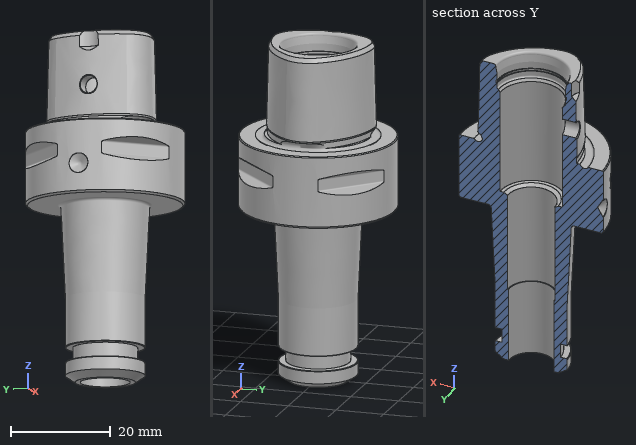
import cadquery as cq
import math

total_height = 70.0
head_chamfer_top = 1.3
neck_bottom = 4.0
neck_top = 7.0
cone_bottom = 17.0
flange_bottom = 36.0
flange_top = 50.95
ledge_top = 51.25
polygon_bottom = 52.8
polygon_edge_bottom = 52.4
bevel_bottom = total_height - 0.9

tip_radius = 12.1 / 2
shank_radius = 16.0 / 2
neck_radius = 13.0 / 2
cone_top_radius = 17.8 / 2
cone_fillet = 0.6
flange_radius = 32.0 / 2
flange_top_chamfer = 0.2
flange_bottom_chamfer = 0.4
shank_edge_chamfer = 0.15

ring_radius = 11.75
ring_tube_radius = 1.0
ring_height = polygon_edge_bottom - ring_tube_radius

lobe_reach = 11.8
face_reach = 10.2
lobe_radius = 6.3
taper = 1 / 40
top_bevel = 0.525
neck_inset = 0.15

rim_radius = 16.65 / 2
rim_fillet_depth = 0.7
mouth_radius = 15.55 / 2
bore_radius = 15.0 / 2
mouth_depth = 2.25
relief_radius = 15.4 / 2
relief_top_depth = 3.85
relief_bottom_depth = 4.4
shoulder_depth = 5.4
shoulder_fillet = 0.5
shoulder_radius = 7.2
chamber_depth = 6.5
chamber_radius = 6.85
chamber_floor = 39.9
seat_radius = 6.0
screw_radius = 10.35 / 2
through_radius = 10.0 / 2
seat_depth = 0.5

slot_count = 4
slot_height = 45.0
slot_flat_distance = 14.15
slot_half_width = 1.25
slot_wall_angle = 30.0
slot_fillet = 0.4

cross_hole_height = 59.0
cross_hole_diameter = 3.6
cross_hole_rim_diameter = 4.0
dimple_height = 42.0
dimple_diameter = 4.0
dimple_angle = 120.0
key_radius = 3.0
key_reach = 8.95
key_bottom = 66.85

clearance = 0.7


def polygon_point(radius, angle):
    return (radius * math.cos(angle), radius * math.sin(angle))


def polygon_wire(inset, height):
    """Three lobe arcs joined tangentially by three flatter face arcs."""
    lobe_center = lobe_reach - lobe_radius
    reach_gap = face_reach - lobe_radius
    face_center = (lobe_center**2 - reach_gap**2) / (2 * reach_gap - lobe_center)
    third = 2 * math.pi / 3
    normal_angle = math.atan2(
        lobe_center * math.sin(third / 2),
        lobe_center * math.cos(third / 2) + face_center,
    )
    lobe_turn = third / 2 - normal_angle
    radius = lobe_radius - inset
    joint_x = lobe_center + radius * math.cos(lobe_turn)
    joint_y = radius * math.sin(lobe_turn)
    joint_distance = math.hypot(joint_x, joint_y)
    joint_angle = math.atan2(joint_y, joint_x)

    outline = cq.Workplane("XY", origin=(0, 0, height))
    outline = outline.moveTo(*polygon_point(joint_distance, -joint_angle))
    for lobe in range(3):
        direction = lobe * third
        outline = outline.threePointArc(
            polygon_point(lobe_reach - inset, direction),
            polygon_point(joint_distance, direction + joint_angle),
        ).threePointArc(
            polygon_point(face_reach - inset, direction + third / 2),
            polygon_point(joint_distance, direction + third - joint_angle),
        )
    return outline.close().wire().val()


def polygon_loft(bottom_inset, bottom, top_inset, top):
    wires = [polygon_wire(bottom_inset, bottom), polygon_wire(top_inset, top)]
    return cq.Workplane(cq.Solid.makeLoft(wires, True))


def make_turned_body():
    fillet_mid = cone_fillet * (1 - math.sqrt(0.5))
    edge = shank_edge_chamfer
    return (
        cq.Workplane("XZ")
        .moveTo(0, 0)
        .lineTo(tip_radius, 0)
        .lineTo(shank_radius, head_chamfer_top)
        .lineTo(shank_radius, neck_bottom - edge)
        .lineTo(shank_radius - edge, neck_bottom)
        .lineTo(neck_radius, neck_bottom)
        .lineTo(neck_radius, neck_top)
        .lineTo(shank_radius - edge, neck_top)
        .lineTo(shank_radius, neck_top + edge)
        .lineTo(shank_radius, cone_bottom)
        .lineTo(cone_top_radius, flange_bottom - cone_fillet)
        .threePointArc(
            (cone_top_radius + fillet_mid, flange_bottom - fillet_mid),
            (cone_top_radius + cone_fillet, flange_bottom),
        )
        .lineTo(flange_radius - flange_bottom_chamfer, flange_bottom)
        .lineTo(flange_radius, flange_bottom + flange_bottom_chamfer)
        .lineTo(flange_radius, flange_top - flange_top_chamfer)
        .lineTo(flange_radius - flange_top_chamfer, flange_top)
        .lineTo(ring_radius, flange_top)
        .lineTo(ring_radius, ledge_top)
        .lineTo(0, ledge_top)
        .close()
        .revolve(360, (0, 0, 0), (0, 1, 0))
    )


def make_ring_groove():
    return (
        cq.Workplane("XZ")
        .center(ring_radius, ring_height)
        .circle(ring_tube_radius)
        .revolve(360, (-ring_radius, 0, 0), (-ring_radius, 1, 0))
    )


def make_polygon():
    top_inset = taper * (bevel_bottom - polygon_bottom)
    neck = polygon_loft(neck_inset, flange_top, neck_inset, polygon_edge_bottom)
    lower_edge = polygon_loft(neck_inset, polygon_edge_bottom, 0, polygon_bottom)
    tapered = polygon_loft(0, polygon_bottom, top_inset, bevel_bottom)
    bevel = polygon_loft(top_inset, bevel_bottom, top_inset + top_bevel, total_height)
    return neck.cut(make_ring_groove()).union(lower_edge).union(tapered).union(bevel)


def make_bore():
    rim_in = rim_radius - mouth_radius
    bend = 1 - math.sqrt(0.5)
    shoulder_in = bore_radius - shoulder_radius
    return (
        cq.Workplane("XZ")
        .moveTo(0, total_height)
        .lineTo(rim_radius, total_height)
        .threePointArc(
            (mouth_radius + rim_in * bend, total_height - rim_fillet_depth * bend),
            (mouth_radius, total_height - rim_fillet_depth),
        )
        .lineTo(bore_radius, total_height - mouth_depth)
        .lineTo(bore_radius, total_height - relief_top_depth)
        .lineTo(relief_radius, total_height - relief_top_depth)
        .lineTo(relief_radius, total_height - relief_bottom_depth)
        .lineTo(bore_radius, total_height - relief_bottom_depth)
        .lineTo(bore_radius, total_height - shoulder_depth)
        .threePointArc(
            (
                bore_radius - shoulder_in * bend,
                total_height - shoulder_depth - shoulder_fillet * (1 - bend),
            ),
            (shoulder_radius, total_height - shoulder_depth - shoulder_fillet),
        )
        .lineTo(chamber_radius, total_height - chamber_depth)
        .lineTo(chamber_radius, chamber_floor)
        .lineTo(seat_radius, chamber_floor)
        .lineTo(screw_radius, chamber_floor - seat_depth)
        .lineTo(screw_radius, cone_bottom)
        .lineTo(through_radius, cone_bottom)
        .lineTo(through_radius, 0)
        .lineTo(0, 0)
        .close()
        .revolve(360, (0, 0, 0), (0, 1, 0))
    )


def make_gripper_slot():
    """Chordal slot on the -X side with sloped walls and rounded floor corners."""
    outer = flange_radius + clearance
    wall_spread = (outer - slot_flat_distance) * math.tan(math.radians(slot_wall_angle))
    half_opening = slot_half_width + wall_spread
    return (
        cq.Workplane("XZ", origin=(0, flange_radius, slot_height))
        .moveTo(-slot_flat_distance, -slot_half_width)
        .lineTo(-slot_flat_distance, slot_half_width)
        .lineTo(-outer, half_opening)
        .lineTo(-outer, -half_opening)
        .close()
        .extrude(2 * flange_radius)
        .edges(">X")
        .edges("|Y")
        .fillet(slot_fillet)
    )


def make_gripper_slots():
    spacing = 360 / slot_count
    slot = make_gripper_slot()
    slots = cq.Workplane("XY")
    for index in range(slot_count):
        slots = slots.add(slot.rotate((0, 0, 0), (0, 0, 1), spacing * (index + 0.5)))
    return slots.combine()


def make_cross_hole():
    """Hole through the polygon wall into the bore, with a small entry chamfer."""
    hole_radius = cross_hole_diameter / 2
    rim = cross_hole_rim_diameter / 2
    surface = face_reach - taper * (cross_hole_height - polygon_bottom)
    return (
        cq.Workplane("XY", origin=(0, 0, cross_hole_height))
        .lineTo(-surface - clearance, 0)
        .lineTo(-surface - clearance, rim)
        .lineTo(-surface, rim)
        .lineTo(-surface + rim - hole_radius, hole_radius)
        .lineTo(0, hole_radius)
        .close()
        .revolve(360, (0, 0, 0), (1, 0, 0))
    )


def make_dimple():
    """Conical spot drilled into the flange."""
    radius = dimple_diameter / 2
    edge = math.sqrt(flange_radius**2 - radius**2)
    depth = radius / math.tan(math.radians(dimple_angle / 2))
    return (
        cq.Workplane("XY", origin=(0, 0, dimple_height))
        .moveTo(-edge + depth, 0)
        .lineTo(-edge, radius)
        .lineTo(-flange_radius - clearance, radius)
        .lineTo(-flange_radius - clearance, 0)
        .close()
        .revolve(360, (0, 0, 0), (1, 0, 0))
    )


def make_keyway():
    """Upright round keyway with a right-angled conical bottom."""
    return (
        cq.Workplane("XZ", origin=(-key_reach - key_radius, 0, 0))
        .moveTo(0, key_bottom - key_radius)
        .lineTo(key_radius, key_bottom)
        .lineTo(key_radius, total_height)
        .lineTo(0, total_height)
        .close()
        .revolve(360, (0, 0, 0), (0, 1, 0))
    )


result = (
    make_turned_body()
    .cut(make_ring_groove())
    .union(make_polygon())
    .cut(make_bore())
    .cut(make_gripper_slots())
    .cut(make_cross_hole())
    .cut(make_dimple())
    .cut(make_keyway())
)